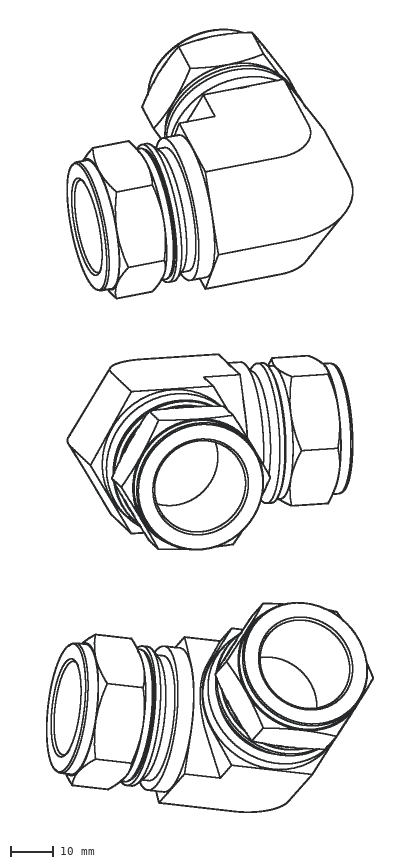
import cadquery as cq
import math

body_flats = 34.9
body_apothem = body_flats / 2
body_corner = body_flats / math.sqrt(3)
overall_length = 65.5
arm_length = overall_length - body_corner

body_end = 19.0
collar_end = 22.9
neck_end = 25.2
ring_cone_end = 27.05
ring_end = 28.3
sleeve_start = 28.75
nut_start = 30.5
nut_end = 42.3

collar_diameter = 34.5
neck_diameter = 29.9
ring_diameter = 33.4
gap_diameter = 31.2
sleeve_diameter = 31.7
nut_flats = 31.75
nut_chamfer_angle = 30.0
cap_diameter = 31.2
cap_chamfer_length = 0.5
cap_chamfer_depth = 0.25

bore_diameter = 22.4
bore_mouth_diameter = 23.5
bore_chamfer = (bore_mouth_diameter - bore_diameter) / 2
bore_bottom = body_end


def body_arm():
    """Hexagonal prism along -X whose inner corner is replaced by a tangent arc."""
    side_normal_angle = math.radians(30)
    tangent_y = -body_apothem * math.cos(side_normal_angle)
    tangent_z = body_apothem * math.sin(side_normal_angle)
    return (
        cq.Workplane("YZ")
        .moveTo(body_corner, 0)
        .lineTo(body_corner / 2, body_apothem)
        .lineTo(-body_corner / 2, body_apothem)
        .lineTo(tangent_y, tangent_z)
        .threePointArc((-body_apothem, 0), (tangent_y, -tangent_z))
        .lineTo(-body_corner / 2, -body_apothem)
        .lineTo(body_corner / 2, -body_apothem)
        .close()
        .extrude(-body_end)
    )


def outer_bend():
    """Outer half of the hexagon swept a quarter turn about Z, from +Y to +X."""
    half_hexagon = [
        (0, -body_apothem),
        (body_corner / 2, -body_apothem),
        (body_corner, 0),
        (body_corner / 2, body_apothem),
        (0, body_apothem),
    ]
    ring = cq.Workplane("XZ").polyline(half_hexagon).close().revolve(360, (0, 0, 0), (0, 1, 0))
    quadrant = cq.Workplane("XY").box(body_flats, body_flats, body_flats, centered=(False, False, True))
    return ring.intersect(quadrant)


def turned_parts():
    """Collar, neck, coned ring, sleeve and end cap, turned about the arm axis."""
    cap_radius = cap_diameter / 2
    profile = [
        (0, 0),
        (0, collar_diameter / 2),
        (-collar_end, collar_diameter / 2),
        (-collar_end, neck_diameter / 2),
        (-neck_end, neck_diameter / 2),
        (-ring_cone_end, ring_diameter / 2),
        (-ring_end, ring_diameter / 2),
        (-ring_end, gap_diameter / 2),
        (-sleeve_start, gap_diameter / 2),
        (-sleeve_start, sleeve_diameter / 2),
        (-nut_start, sleeve_diameter / 2),
        (-nut_start, cap_radius),
        (-arm_length + cap_chamfer_length, cap_radius),
        (-arm_length, cap_radius - cap_chamfer_depth),
        (-arm_length, 0),
    ]
    return cq.Workplane("XY").polyline(profile).close().revolve(360, (0, 0, 0), (1, 0, 0))


def nut():
    """Hexagonal nut with its corners turned off conically at both ends."""
    nut_apothem = nut_flats / 2
    nut_corner = nut_flats / math.sqrt(3)
    chamfer_length = (nut_corner - nut_apothem) * math.tan(math.radians(nut_chamfer_angle))
    hexagon = [
        (nut_corner * math.cos(math.radians(60 * i)), nut_corner * math.sin(math.radians(60 * i)))
        for i in range(6)
    ]
    prism = (
        cq.Workplane("YZ", origin=(-nut_start, 0, 0))
        .polyline(hexagon)
        .close()
        .extrude(nut_start - nut_end)
    )
    envelope_profile = [
        (-nut_start, 0),
        (-nut_start, nut_apothem),
        (-nut_start - chamfer_length, nut_corner),
        (-nut_end + chamfer_length, nut_corner),
        (-nut_end, nut_apothem),
        (-nut_end, 0),
    ]
    envelope = cq.Workplane("XY").polyline(envelope_profile).close().revolve(360, (0, 0, 0), (1, 0, 0))
    return prism.intersect(envelope)


def bore():
    """Blind tube socket with a chamfered mouth."""
    profile = [
        (-bore_bottom, 0),
        (-bore_bottom, bore_diameter / 2),
        (-arm_length + bore_chamfer, bore_diameter / 2),
        (-arm_length, bore_mouth_diameter / 2),
        (-arm_length, 0),
    ]
    return cq.Workplane("XY").polyline(profile).close().revolve(360, (0, 0, 0), (1, 0, 0))


def swap_arm(shape):
    """Turn a feature of the -X arm half way about the X = Y line, onto the -Y arm."""
    return shape.rotate((0, 0, 0), (1, 1, 0), 180)


arm = body_arm().union(turned_parts()).union(nut())
result = outer_bend().union(arm).union(swap_arm(arm)).cut(bore()).cut(swap_arm(bore()))